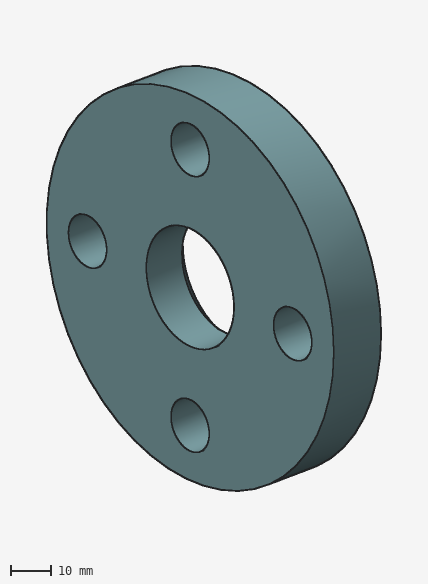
import cadquery as cq

outer_diameter = 105.0
thickness = 16.0
bore_diameter = 32.0
back_chamfer = 4.0
bolt_circle_diameter = 75.0
bolt_hole_diameter = 14.0
bolt_hole_count = 4


def flange_disc():
    """Flat ring whose axis runs along Y, with its +Y face at Y = 0."""
    return (
        cq.Workplane("XZ")
        .circle(outer_diameter / 2)
        .circle(bore_diameter / 2)
        .extrude(thickness)
    )


def bolt_holes():
    """Cylinders for the through holes, evenly spaced from the +X axis."""
    return (
        cq.Workplane("XZ")
        .polarArray(bolt_circle_diameter / 2, 0, 360, bolt_hole_count)
        .circle(bolt_hole_diameter / 2)
        .extrude(thickness)
    )


def bore_chamfer():
    """Cone that widens the bore towards the +Y face."""
    bore_radius = bore_diameter / 2
    return cq.Workplane(
        cq.Solid.makeCone(
            bore_radius + back_chamfer,
            bore_radius,
            back_chamfer,
            pnt=cq.Vector(0, 0, 0),
            dir=cq.Vector(0, -1, 0),
        )
    )


result = flange_disc().cut(bolt_holes()).cut(bore_chamfer())